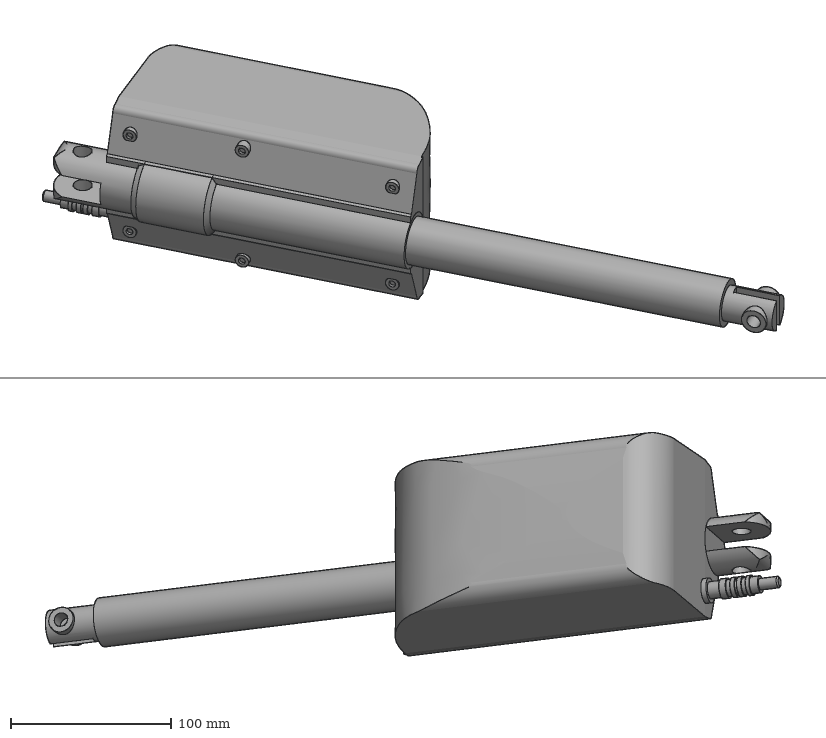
import cadquery as cq
import math


overall_length = 491

housing_length = 201.0
half_height = 51.8
seam_y = 17.5
cover_end_gap = 1.0
cover_crest_y = 94.0
cover_rear_top = (2.5, 67.0)
cover_rear_mid = (10.0, 83.5)
cover_back_start = (26.5, 93.0)
cover_crest_x = 64.0
cover_front_curve = [(113.0, 93.0), (155.5, 88.0), (179.5, 73.5), (192.5, 54.0)]
cover_corner_y = 83.0
cover_corner_z = 49.5
cover_dome_z = 38.5
cover_dome_drop = 1.5
wing_round_start = (11.0, 50.5)
wing_round_mid = (7.5, 49.5)
wing_round_end = (6.0, 46.5)
wing_inner_y = -4.15
wing_inner_z = 22.5
saddle_half_width = 21.5
saddle_y = -6.0

tube_radius = 18.0
collar_radius = 22.0
collar_start = 21.0
collar_end = 72.5
collar_rear_radius = 20.0
collar_rear_bevel = 4.0
collar_front_bevel = 3.0
fork_hole_x = -17.5
fork_hole_radius = 6.0
fork_slot_width = 16.0
fork_tip_round = 9.5
fork_tip_x = fork_hole_x - tube_radius
fork_length = -fork_tip_x

screw_radius = 4.5
screw_head_y = 0.0
screw_root_y = 10.0
screw_socket_radius = 2.2
screw_socket_depth = 2.0
screw_places = [(13.5, 36.5), (87.5, 41.5), (186.5, 36.5)]

cable_y = seam_y
cable_z = -35.0
cable_tip_x = -49.5
cable_radius = 3.7
cable_end_bevel = 1.0
sleeve_start = -37.0
sleeve_radius = 5.5
rib_radius = 6.5
rib_spans = [(-31.5, -29.0), (-26.0, -23.0), (-21.5, -18.5), (-15.5, -11.5)]
flange_radius = 8.0
flange_thickness = 3.5

rod_diameter = 31.0
rod_end = 408.0
rod_tip = overall_length + cable_tip_x
tip_diameter = 23.0
tip_slot_start = 413.0
tip_slot_width = 6.0
eye_x = 430.0
eye_radius = 8.1
eye_hole_radius = 4.5
eye_half_width = 14.0


def cross_section(x, y=0, z=0):
    """Workplane across X, with its first axis toward -Y."""
    return cq.Workplane(cq.Plane(origin=(x, y, z), xDir=(0, -1, 0), normal=(1, 0, 0)))


def round_bar(start, end, radius, y=0, z=0):
    return cross_section(start, y, z).circle(radius).extrude(end - start)


def bar_along_y(x, z, radius, start, end):
    """Cylinder along Y from start to end."""
    direction = cq.Vector(0, 1, 0)
    return cq.Workplane(cq.Solid.makeCylinder(radius, end - start, cq.Vector(x, start, z), direction))


def make_cover():
    """Side profile crossed with a domed, drafted end section."""
    front_x = housing_length - cover_end_gap
    profile = (
        cq.Workplane("XY", origin=(0, 0, -half_height))
        .moveTo(0, seam_y)
        .lineTo(*cover_rear_top)
        .threePointArc(cover_rear_mid, cover_back_start)
        .lineTo(cover_crest_x, cover_crest_y)
        .spline(
            [*cover_front_curve, (front_x, seam_y)],
            tangents=[(1, 0), (0, -1)],
            includeCurrent=True,
        )
        .close()
        .extrude(2 * half_height)
    )
    shoulder_y = cover_crest_y - cover_dome_drop
    corner_depth = shoulder_y - cover_corner_y
    corner_width = cover_corner_z - cover_dome_z
    corner_mid_y = cover_corner_y + corner_depth * math.sin(math.pi / 4)
    corner_mid_z = cover_dome_z + corner_width * math.cos(math.pi / 4)
    section = (
        cq.Workplane("YZ")
        .moveTo(seam_y, -half_height)
        .lineTo(cover_corner_y, -cover_corner_z)
        .threePointArc((corner_mid_y, -corner_mid_z), (shoulder_y, -cover_dome_z))
        .threePointArc((cover_crest_y, 0), (shoulder_y, cover_dome_z))
        .threePointArc((corner_mid_y, corner_mid_z), (cover_corner_y, cover_corner_z))
        .lineTo(seam_y, half_height)
        .close()
        .extrude(housing_length)
    )
    return profile.intersect(section)


def make_base():
    """Winged base with a raised saddle around the tube."""
    half_base = (
        cq.Workplane("YZ")
        .moveTo(seam_y, 0)
        .lineTo(seam_y, half_height)
        .lineTo(*wing_round_start)
        .threePointArc(wing_round_mid, wing_round_end)
        .lineTo(wing_inner_y, wing_inner_z)
        .lineTo(saddle_y, saddle_half_width)
        .lineTo(saddle_y, 0)
        .close()
        .extrude(housing_length)
    )
    return half_base.union(half_base.mirror("XY"))


def make_fork():
    """Rear end of the tube: rounded both ways, slotted and cross-drilled."""
    bar = round_bar(fork_tip_x, 0, tube_radius)
    top_outline = (
        cq.Workplane("XY", origin=(0, 0, -tube_radius))
        .moveTo(0, -tube_radius)
        .lineTo(fork_hole_x, -tube_radius)
        .threePointArc((fork_tip_x, 0), (fork_hole_x, tube_radius))
        .lineTo(0, tube_radius)
        .close()
        .extrude(2 * tube_radius)
    )
    side_outline = (
        cq.Workplane("XY")
        .box(fork_length, 2 * tube_radius, 2 * tube_radius)
        .edges("|Y and <X")
        .fillet(fork_tip_round)
        .translate((fork_tip_x / 2, 0, 0))
    )
    slot = cq.Workplane("XY").box(fork_length, 2 * tube_radius, fork_slot_width)
    slot = slot.translate((fork_tip_x / 2, 0, 0))
    hole = cq.Workplane("XY").center(fork_hole_x, 0).circle(fork_hole_radius).extrude(tube_radius, both=True)
    return bar.intersect(top_outline).intersect(side_outline).cut(slot).cut(hole)


def make_collar():
    """Thicker sleeve on the tube with bevelled ends."""
    return (
        cq.Workplane("XY")
        .moveTo(collar_start, 0)
        .lineTo(collar_start, -collar_rear_radius)
        .lineTo(collar_start + collar_rear_bevel, -collar_radius)
        .lineTo(collar_end - collar_front_bevel, -collar_radius)
        .lineTo(collar_end, -tube_radius)
        .lineTo(collar_end, 0)
        .close()
        .revolve(360, (0, 0, 0), (1, 0, 0))
    )


def make_cable():
    """Cable, ribbed strain relief and flange on the rear face."""
    cable = round_bar(cable_tip_x, sleeve_start, cable_radius, cable_y, cable_z)
    cable = cable.faces("<X").chamfer(cable_end_bevel)
    cable = cable.union(round_bar(sleeve_start, 0, sleeve_radius, cable_y, cable_z))
    for start, end in rib_spans:
        cable = cable.union(round_bar(start, end, rib_radius, cable_y, cable_z))
    return cable.union(round_bar(-flange_thickness, 0, flange_radius, cable_y, cable_z))


def make_housing(enclosed_body):
    """Base, cover, cable and screws, with a passage fitting the enclosed body."""
    body = make_base().union(make_cover()).union(make_cable())
    for x, z in screw_places:
        for side in (1, -1):
            head = bar_along_y(x, side * z, screw_radius, screw_head_y, screw_root_y)
            socket_end = screw_head_y + screw_socket_depth
            socket = bar_along_y(x, side * z, screw_socket_radius, screw_head_y, socket_end)
            body = body.union(head).cut(socket)
    return body.cut(enclosed_body)


def make_rod():
    """Push rod in front of the tube, ending in a slotted eye."""
    rod = round_bar(housing_length, rod_end, rod_diameter / 2)
    rod = rod.union(round_bar(rod_end, rod_tip, tip_diameter / 2))
    rod = rod.union(bar_along_y(eye_x, 0, eye_radius, -eye_half_width, eye_half_width))
    slot_length = rod_tip - tip_slot_start
    slot = cq.Workplane("XY").box(slot_length, tip_slot_width, tip_diameter)
    slot = slot.translate((tip_slot_start + slot_length / 2, 0, 0))
    hole = bar_along_y(eye_x, 0, eye_hole_radius, -eye_half_width, eye_half_width)
    return rod.cut(slot).cut(hole)


def make_actuator():
    """Tube with its rear fork, collar and push rod."""
    tube = round_bar(0, housing_length, tube_radius)
    return tube.union(make_collar()).union(make_fork()).union(make_rod())


actuator = make_actuator()
housing = make_housing(actuator)
result = cq.Compound.makeCompound([housing.solids().val(), actuator.solids().val()])